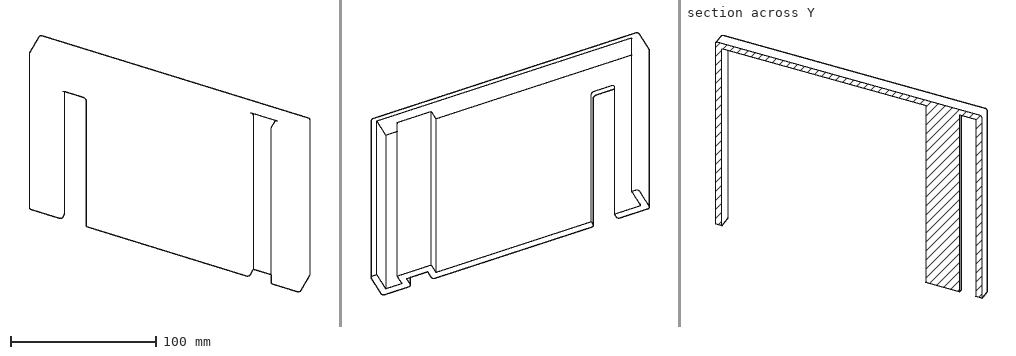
import cadquery as cq

width = 203.15
depth = 20.0
height = 156.25
wall = 5.0
edge_radius = 2.0

slot_left = 25.0
slot_width = 17.5
slot_height = 127.5
slot_corner_radius = 2.05

groove_left = 165.15
groove_width = 15.85
groove_depth = 7.8

slot_right = slot_left + slot_width
groove_right = groove_left + groove_width


def box_between(x_range, y_range, z_range):
    """Box spanning the given (low, high) pairs."""
    low, high = zip(x_range, y_range, z_range)
    size = [end - start for start, end in zip(low, high)]
    return cq.Workplane("XY").box(*size, centered=False).translate(low)


def make_slot():
    """Slot cutter as deep as the front wall, with rounded top corners."""
    slot = box_between((slot_left, slot_right), (0, wall), (0, slot_height))
    return slot.edges("|Y and >Z").fillet(slot_corner_radius)


def make_groove():
    """Rectangular groove cutter running the full height."""
    return box_between((groove_left, groove_right), (0, groove_depth), (0, height))


def make_cavity():
    """Hollow open at the back and bottom, keeping one wall thickness around the groove."""
    inside_height = height - wall
    hollow = box_between((wall, width - wall), (wall, depth), (0, inside_height))
    groove_wall = box_between(
        (groove_left - wall, groove_right + wall),
        (wall, groove_depth + wall),
        (0, inside_height),
    )
    return hollow.cut(groove_wall)


def is_rounded(edge):
    """All selected edges are rounded except the top edge of the groove floor."""
    center = edge.Center()
    on_groove_floor = abs(center.y - groove_depth) < edge_radius / 2
    in_groove = groove_left + edge_radius < center.x < groove_right - edge_radius
    return not (on_groove_floor and in_groove)


def round_edges(solid):
    """Round the front, back and top edges, leaving the bottom sharp."""
    outer_edges = solid.edges("(<Y or >Y or >Z) and (not <Z)")
    return outer_edges.filter(is_rounded).fillet(edge_radius)


block = box_between((0, width), (0, depth), (0, height))
block = block.cut(make_groove()).cut(make_slot())
result = round_edges(block).cut(make_cavity())